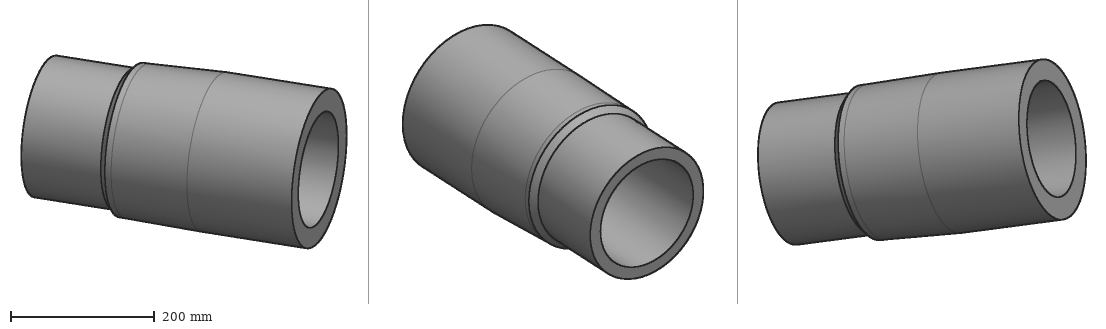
import cadquery as cq

total_length = 403.0
spigot_length = 117.5
chamfer_end = 127.0
collar_end = 136.0
taper_end = 248.0

axis_offset = -3.45

large_radius = 112.5
collar_radius = large_radius + axis_offset
spigot_radius = 100.0
bore_radius = 82.0


def circle_at(x, radius, y_center):
    """Circular section normal to X."""
    return cq.Workplane("YZ", origin=(x, y_center, 0)).circle(radius)


def pipe(x_start, x_end, radius, y_center):
    """Straight cylinder between two stations."""
    return circle_at(x_start, radius, y_center).extrude(x_end - x_start)


def taper(x_start, start_radius, start_y, x_end, end_radius, end_y):
    """Ruled transition between two circular sections."""
    start = circle_at(x_start, start_radius, start_y).wires().val()
    end = circle_at(x_end, end_radius, end_y).wires().val()
    return cq.Workplane(cq.Solid.makeLoft([start, end], True))


spigot = pipe(0, spigot_length, spigot_radius, axis_offset)
chamfer = taper(spigot_length, spigot_radius, axis_offset, chamfer_end, collar_radius, axis_offset)
collar = pipe(chamfer_end, collar_end, collar_radius, axis_offset)
reducer = taper(collar_end, collar_radius, axis_offset, taper_end, large_radius, 0)
large_pipe = pipe(taper_end, total_length, large_radius, 0)
body = spigot.union(chamfer).union(collar).union(reducer).union(large_pipe)

bore = pipe(0, total_length, bore_radius, axis_offset)
result = body.cut(bore)